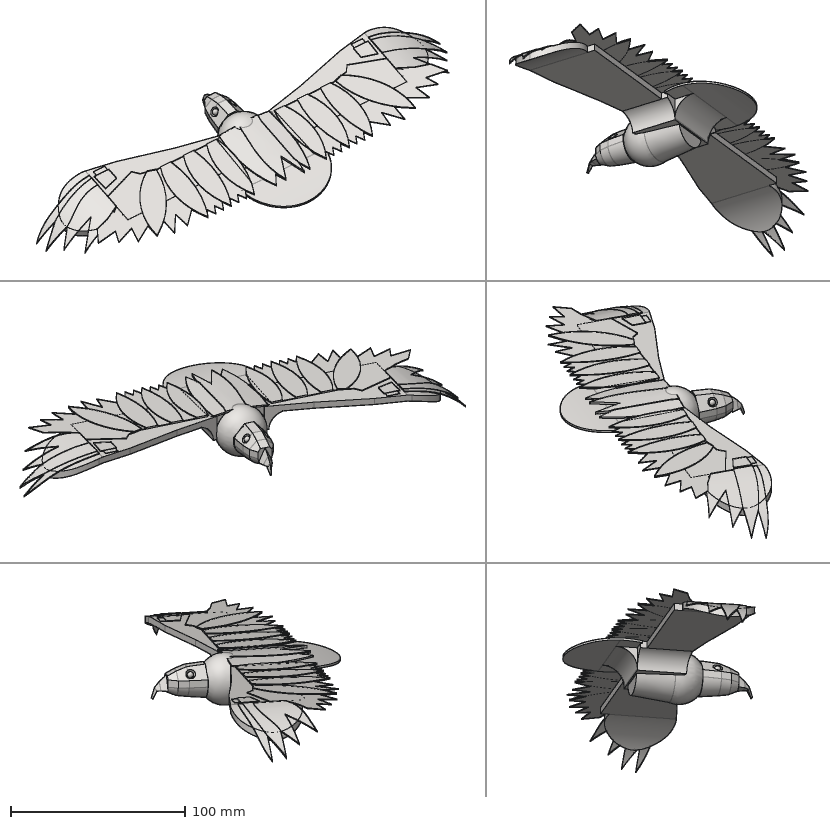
import cadquery as cq
import math


body_radius = 15.215
beak_tip_x = -43.31
tail_end_x = 67.62
half_span = 138.495

body_end_x = 28.4
belly_start_radius = 14.9
belly_end_x = 27.5
belly_end_radius = 11.9
shoulder_half_width = 17.4
shoulder_bottom_z = -3.0
shoulder_outer_y = 25.4
shoulder_mid_y = 20.2
shoulder_mid_z = 4.4
shoulder_setback = 1.0
shoulder_face_y = 14.9

wing_top_z = 12.0
arm_thickness = 4.0
arm_bottom_z = wing_top_z - arm_thickness
arm_rear_x = 24.4
covert_edge_x = 1.7
bend_y = 95.7
feather_thickness = 0.5

hand_end_y = 123.4
hand_under_mid = (111.2, 3.9)
hand_under_end = (hand_end_y + 0.5, -3.5)
tip_drop = 23.4
droop_run = half_span - bend_y
droop_start = math.radians(8)
droop_end = 2 * math.atan(tip_drop / droop_run) - droop_start
droop_radius = droop_run / (math.sin(droop_end) - math.sin(droop_start))
droop_centre_y = bend_y - droop_radius * math.sin(droop_start)
droop_centre_z = wing_top_z - droop_radius * math.cos(droop_start)
band_run = droop_run + 1.5

secondary_tip_x = 48.5
secondary_notch_x = 43.1
secondary_pitch = 5.28
secondary_first_tip_y = 24.7
secondary_tip_count = 7
oval_pitch = 3 * secondary_pitch
oval_count = 3
slanted_tip = (44.2, 88.6)

back_half_width = 18.4
back_edge_z = 12.4
back_crown_z = 14.0
back_feather_thickness = 0.9
back_length = 51.0

tail_radius = 29.0
tail_centre_x = tail_end_x - tail_radius
tail_top_z = 11.8
tail_thickness = 1.3
tail_start_x = body_end_x - 1
tail_bend_x = 41.0
tail_end_drop = 2.0
tail_blend_end_x = tail_bend_x

crown_half_width = 2.9
cheek_top_z = 2.8
cheek_bottom_z = -1.5
head_stations = [
    (-34.4, 4.8, 4.4, -5.4),
    (-29.2, 7.4, 7.6, -7.7),
    (-23.0, 9.6, 8.9, -8.7),
    (-12.0, 10.4, 9.8, -10.0),
]
beak_stations = [
    (-34.3, 4.8, -34.3, 4.3, -4.2),
    (-38.6, 1.0, -38.2, 2.9, -4.0),
    (-41.4, -2.3, -40.3, 1.6, -4.3),
    (beak_tip_x, -8.4, -42.4, 0.3, -9.3),
]
eye_x = -21.5
eye_y = 6.2
eye_z = 6.0
eye_inset = 0.8
eye_radius = 1.9
eye_ring_radius = 2.8


def plan_prism(sketch, bottom_z, top_z):
    """Extrude a closed XY wire between two heights."""
    return sketch.extrude(top_z - bottom_z).translate((0, 0, bottom_z))


def across(profile, start_x, end_x):
    """Extrude a closed YZ wire along X."""
    return profile.extrude(end_x - start_x).translate((start_x, 0, 0))


def mirrored(half):
    """A shape together with its mirror image across the XZ plane."""
    return half.union(half.mirror("XZ"))


def back_height(offset):
    """Centre point and edge point of the arched back, shifted along Z."""
    return (0, back_crown_z + offset), (back_half_width, back_edge_z + offset)


def make_body():
    sphere = cq.Workplane("XY").sphere(body_radius)
    belly = (
        cq.Workplane("YZ").circle(belly_start_radius)
        .workplane(offset=belly_end_x).circle(belly_end_radius).loft(ruled=True)
    )
    return sphere.union(belly)


def make_shoulders():
    crown, edge = back_height(-back_feather_thickness / 2)
    flank = [
        (shoulder_half_width, shoulder_bottom_z),
        (shoulder_mid_y, shoulder_mid_z),
        (shoulder_outer_y, arm_bottom_z),
    ]
    far_flank = [(-y, z) for y, z in flank]
    profile = (
        cq.Workplane("YZ")
        .moveTo(*far_flank[0])
        .lineTo(*flank[0])
        .threePointArc(*flank[1:])
        .lineTo(shoulder_outer_y, wing_top_z)
        .lineTo(edge[0], wing_top_z)
        .threePointArc(crown, (-edge[0], wing_top_z))
        .lineTo(-shoulder_outer_y, wing_top_z)
        .lineTo(*far_flank[2])
        .threePointArc(far_flank[1], far_flank[0])
        .close()
    )
    return across(profile, shoulder_setback, body_end_x)


def make_tail():
    tip_z = tail_top_z - tail_end_drop
    under_z = tail_top_z - tail_thickness
    mid_x = (tail_bend_x + tail_end_x) / 2
    mid_drop = tail_end_drop / 4
    fan_side = (
        cq.Workplane("XZ").moveTo(tail_start_x, tail_top_z)
        .lineTo(tail_bend_x, tail_top_z)
        .threePointArc((mid_x, tail_top_z - mid_drop), (tail_end_x, tip_z))
        .lineTo(tail_end_x, tip_z - tail_thickness)
        .threePointArc((mid_x, under_z - mid_drop), (tail_bend_x, under_z))
        .lineTo(tail_start_x, under_z)
        .close().extrude(tail_radius, both=True)
    )
    disc = cq.Workplane("XY").center(tail_centre_x, 0).circle(tail_radius).extrude(2 * tail_top_z)
    blend_radius = tail_blend_end_x - body_end_x
    blend_mid_x = tail_blend_end_x - blend_radius * math.cos(math.radians(45))
    blend_mid_z = under_z - blend_radius * (1 - math.cos(math.radians(45)))
    root = (
        cq.Workplane("XZ").moveTo(tail_start_x, tail_top_z)
        .lineTo(tail_blend_end_x, tail_top_z)
        .lineTo(tail_blend_end_x, under_z)
        .threePointArc((blend_mid_x, blend_mid_z), (body_end_x, under_z - blend_radius))
        .lineTo(tail_start_x, under_z - blend_radius)
        .close().extrude(shoulder_half_width, both=True)
    )
    return fan_side.intersect(disc).union(root)


def make_back_layer(outline, offset):
    """A feather layer following the arched back, trimmed to a plan outline."""
    crown, edge = back_height(offset)
    low_crown, low_edge = back_height(offset - back_feather_thickness)
    shell = across(
        cq.Workplane("YZ").moveTo(-edge[0], edge[1]).threePointArc(crown, edge)
        .lineTo(*low_edge).threePointArc(low_crown, (-low_edge[0], low_edge[1])).close(),
        0, back_length,
    )
    return shell.intersect(plan_prism(outline, 0, 2 * wing_top_z))


def make_back_feathers():
    left_tip = (50.0, 12.5)
    left_notch = (42.0, 9.3)
    left_centre_tip = (50.8, 8.2)
    centre_notch = (34.0, 3.2)
    right_centre_tip = (50.0, -3.9)
    right_tip = (50.0, -10.6)
    front_half_width = 17.2
    all_feathers = (
        cq.Workplane("XY").moveTo(0, -front_half_width)
        .lineTo(0, front_half_width)
        .spline([(18, 18.1), (34, 17.0), left_tip], includeCurrent=True)
        .lineTo(*left_notch)
        .lineTo(*left_centre_tip)
        .lineTo(*centre_notch)
        .lineTo(*right_centre_tip)
        .lineTo(43.0, -6.5)
        .lineTo(*right_tip)
        .spline([(34, -16.0), (18, -18.0), (0, -front_half_width)], includeCurrent=True)
        .close()
    )
    centre_feathers = (
        cq.Workplane("XY").moveTo(0, -4.0)
        .lineTo(0, 9.4)
        .lineTo(5.0, 8.6)
        .lineTo(39.0, 8.6)
        .lineTo(*left_notch)
        .lineTo(*left_centre_tip)
        .lineTo(*centre_notch)
        .lineTo(*right_centre_tip)
        .spline([(40, -6.4), (24, -7.0), (0, -4.0)], includeCurrent=True)
        .close()
    )
    lower = make_back_layer(all_feathers, 0)
    return lower.union(make_back_layer(centre_feathers, feather_thickness))


def head_section(x, crown_z, half_width, throat_z):
    return (
        cq.Workplane("YZ", origin=(x, 0, 0))
        .moveTo(-crown_half_width, crown_z)
        .lineTo(crown_half_width, crown_z)
        .lineTo(half_width, cheek_top_z)
        .lineTo(half_width, cheek_bottom_z)
        .threePointArc((0, throat_z), (-half_width, cheek_bottom_z))
        .lineTo(-half_width, cheek_top_z)
        .close().wires().val()
    )


def beak_section(ridge_x, ridge_z, edge_x, half_width, edge_z):
    corners = [
        cq.Vector(ridge_x, 0, ridge_z),
        cq.Vector(edge_x, half_width, edge_z),
        cq.Vector(edge_x, -half_width, edge_z),
    ]
    return cq.Wire.makePolygon(corners, close=True)


def make_eyes():
    """Sockets on both sloping brows, and the eyeballs set in them."""
    centre = (eye_x, eye_y, eye_z)
    ring = cq.Workplane("XY").sphere(eye_ring_radius).translate(centre)
    ball_centre = (eye_x, eye_y - eye_inset, eye_z - eye_inset)
    ball = cq.Workplane("XY").sphere(eye_radius).translate(ball_centre)
    return mirrored(ring), mirrored(ball)


def make_head():
    skull = cq.Workplane(cq.Solid.makeLoft([head_section(*s) for s in head_stations], True))
    beak = cq.Workplane(cq.Solid.makeLoft([beak_section(*s) for s in beak_stations], True))
    sockets, eyeballs = make_eyes()
    return skull.cut(sockets).union(eyeballs).union(beak)


def droop_point(run, radial_offset=0.0):
    """Point on the drooping hand surface, at a run outboard of the bend."""
    angle = math.asin(run / droop_radius + math.sin(droop_start))
    radius = droop_radius + radial_offset
    return droop_centre_y + radius * math.sin(angle), droop_centre_z + radius * math.cos(angle)


def make_arm():
    side = across(
        cq.Workplane("YZ").moveTo(shoulder_face_y, shoulder_bottom_z)
        .lineTo(shoulder_half_width, shoulder_bottom_z)
        .threePointArc((shoulder_mid_y, shoulder_mid_z), (shoulder_outer_y, arm_bottom_z))
        .lineTo(bend_y, arm_bottom_z)
        .threePointArc(hand_under_mid, hand_under_end)
        .lineTo(*droop_point(hand_under_end[0] - bend_y))
        .threePointArc(droop_point((hand_end_y - bend_y) / 2), (bend_y, wing_top_z))
        .lineTo(shoulder_face_y, wing_top_z)
        .close(),
        -arm_rear_x, arm_rear_x,
    )
    plan = (
        cq.Workplane("XY").moveTo(0, shoulder_face_y)
        .lineTo(-6.5, 43.0)
        .lineTo(-16.3, 76.6)
        .lineTo(-20.6, 98.2)
        .spline([(-20.7, 104.0), (-18.4, 112.9), (-10.0, 120.8), (-1.7, hand_end_y)], includeCurrent=True)
        .spline([(12.5, 118.0), (18.5, 110.0), (arm_rear_x - 5, bend_y)], includeCurrent=True)
        .lineTo(arm_rear_x, bend_y)
        .lineTo(arm_rear_x, shoulder_face_y)
        .close()
    )
    return side.intersect(plan_prism(plan, -wing_top_z, 2 * wing_top_z))


def make_hand_layer(outline, bottom_offset):
    """A feather layer following the droop of the hand, trimmed to a plan outline."""
    top_offset = bottom_offset + feather_thickness
    band = across(
        cq.Workplane("YZ").moveTo(*droop_point(0, bottom_offset))
        .threePointArc(droop_point(band_run / 2, bottom_offset), droop_point(band_run, bottom_offset))
        .lineTo(*droop_point(band_run, top_offset))
        .threePointArc(droop_point(band_run / 2, top_offset), droop_point(0, top_offset))
        .close(),
        -arm_rear_x, 2 * arm_rear_x,
    )
    return band.intersect(plan_prism(outline, -2 * wing_top_z, 2 * wing_top_z))


def make_hand_feathers(second_rear_edge):
    """Four primary feathers; the second is raised, up to its given rear edge."""
    first_notch = (-5.7, 125.9)
    second_tip = (2.6, 137.5)
    second_notch = (2.7, 123.0)
    all_feathers = (
        cq.Workplane("XY").moveTo(-15.8, bend_y)
        .spline([(-15.5, 104.5), (-12.3, 121.2), (-9.1, 133.3), (-5.9, half_span)], includeCurrent=True)
        .lineTo(*first_notch)
        .lineTo(*second_tip)
        .lineTo(*second_notch)
        .lineTo(11.9, 131.5)
        .lineTo(8.5, 110.6)
        .lineTo(24.0, 124.9)
        .spline([(21.0, 114.0), (16.5, 101.0), (12.3, bend_y)], includeCurrent=True)
        .close()
    )
    second_feather = (
        cq.Workplane("XY").moveTo(-13.2, bend_y)
        .spline([(-11.3, 109.0), first_notch], includeCurrent=True)
        .lineTo(*second_tip)
        .lineTo(*second_notch)
        .spline(second_rear_edge, includeCurrent=True)
        .close()
    )
    lower = make_hand_layer(all_feathers, 0)
    return lower.union(make_hand_layer(second_feather, feather_thickness / 2))


def make_flight_plate():
    """One thin plate whose rear edge is cut into feather tips."""
    plate_root_y = 20.0
    plate = cq.Workplane("XY").moveTo(covert_edge_x, plate_root_y)
    plate = plate.lineTo(40.0, plate_root_y + 1)
    for index in range(secondary_tip_count):
        tip_y = secondary_first_tip_y + index * secondary_pitch
        plate = plate.lineTo(secondary_tip_x, tip_y)
        plate = plate.lineTo(secondary_notch_x, tip_y + secondary_pitch / 2)
    primary_edge = [
        (38.3, 61.0), (47.0, 69.6), (36.3, 70.7),
        (47.9, 79.0), (36.8, 79.2), slanted_tip,
        (34.9, 88.8), (41.7, 99.9), (31.2, 97.6),
        (36.1, 109.6), (28.0, 106.6), (30.2, 119.8),
        (20.8, 114.4), (17.7, 105.4), (12.3, bend_y),
    ]
    for point in primary_edge:
        plate = plate.lineTo(*point)
    plate = (
        plate.lineTo(3.4, bend_y)
        .lineTo(-4.9, 74.0)
        .lineTo(-0.7, 70.6)
        .lineTo(0, 67.0)
        .lineTo(covert_edge_x, 62.5)
        .close()
    )
    return plan_prism(plate, wing_top_z, wing_top_z + feather_thickness)


def raise_feather(outline):
    bottom_z = wing_top_z + feather_thickness
    return plan_prism(outline, bottom_z, bottom_z + feather_thickness)


def make_secondary_ovals():
    root_half_width = 3.6
    widest_x = 21.5
    widest_half_width = 6.8
    root_shift = 1.5
    ovals = None
    for index in range(oval_count):
        tip_y = secondary_first_tip_y + index * oval_pitch
        root_inner = (covert_edge_x, tip_y - root_shift - root_half_width)
        root_outer = (covert_edge_x, tip_y - root_shift + root_half_width)
        oval = raise_feather(
            cq.Workplane("XY").moveTo(*root_inner)
            .threePointArc((widest_x, tip_y - widest_half_width), (secondary_tip_x, tip_y))
            .threePointArc((widest_x, tip_y + widest_half_width), root_outer)
            .close()
        )
        ovals = oval if ovals is None else ovals.union(oval)
    return ovals


def make_slanted_feather():
    return raise_feather(
        cq.Workplane("XY").moveTo(covert_edge_x, 61.4)
        .threePointArc((24.5, 69.4), slanted_tip)
        .threePointArc((12.4, 79.6), (0, 66.6))
        .close()
    )


def make_wrist_patch():
    """Small raised covert just inboard of the bend."""
    front_x = -13.5
    lip_front_x = -16.9
    lip_outer_y = 92.3
    lip_inner_y = 84.6
    inner_y = 83.9
    corners = [(front_x, 94.0), (-2.3, 93.5), (-5.4, inner_y), (front_x, inner_y)]
    patch = cq.Workplane("XY").polyline(corners).close()
    patch = plan_prism(patch, wing_top_z, wing_top_z + feather_thickness)
    lip_corners = [
        (lip_front_x, lip_outer_y), (front_x, lip_outer_y),
        (front_x, lip_inner_y), (lip_front_x, lip_inner_y),
    ]
    lip = cq.Workplane("XY").polyline(lip_corners).close()
    return patch.union(plan_prism(lip, wing_top_z, wing_top_z + feather_thickness / 2))


def make_wing(second_rear_edge):
    return (
        make_arm()
        .union(make_hand_feathers(second_rear_edge))
        .union(make_flight_plate())
        .union(make_secondary_ovals())
        .union(make_slanted_feather())
        .union(make_wrist_patch())
    )


left_rear_edge = [(0.9, 112.0), (-1.6, bend_y)]
right_rear_edge = [(1.0, 119.3), (-3.2, 112.0), (-6.3, 103.6), (-6.9, bend_y)]

result = (
    make_body()
    .union(make_shoulders())
    .union(make_tail())
    .union(make_back_feathers())
    .union(make_head())
    .union(make_wing(left_rear_edge))
    .union(make_wing(right_rear_edge).mirror("XZ"))
)